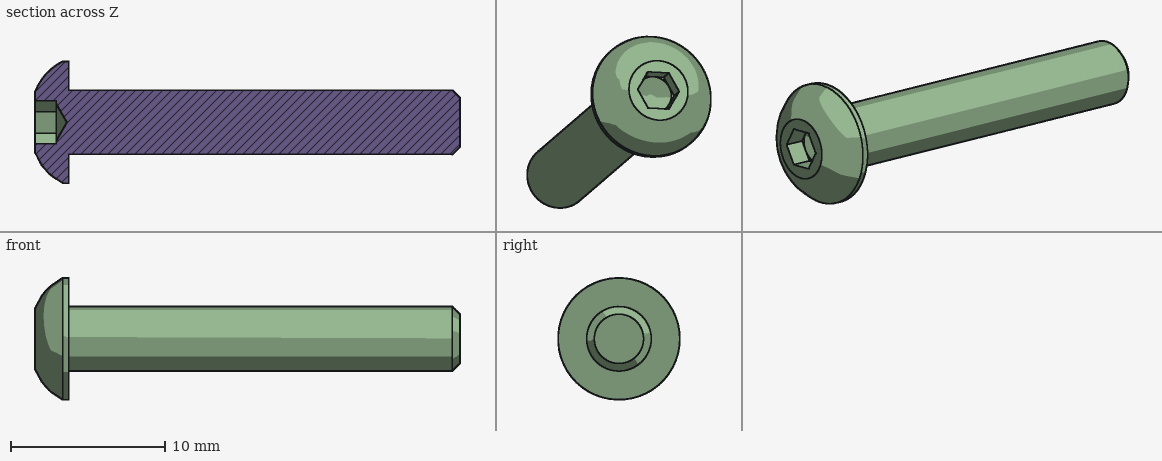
import cadquery as cq
import math

total_length = 27.6
head_radius = 7.92 / 2
head_height = 2.2
rim_thickness = 0.41
face_radius = 3.95 / 2
dome_bulge = 0.25
shank_radius = 4.2 / 2
tip_chamfer = 0.5

socket_across_flats = 2.4
socket_depth = 1.38
drill_point_angle = 120.0

face_x = -total_length / 2
tip_x = face_x + total_length
head_back_x = face_x + head_height
rim_front_x = head_back_x - rim_thickness


def screw_body():
    """Revolve the half outline of the domed head and chamfered shank about X."""
    dome_run = rim_front_x - face_x
    dome_rise = head_radius - face_radius
    chord = math.hypot(dome_run, dome_rise)
    dome_middle = (
        face_x + dome_run / 2 - dome_bulge * dome_rise / chord,
        face_radius + dome_rise / 2 + dome_bulge * dome_run / chord,
    )
    return (
        cq.Workplane("XY")
        .moveTo(face_x, 0)
        .lineTo(face_x, face_radius)
        .threePointArc(dome_middle, (rim_front_x, head_radius))
        .lineTo(head_back_x, head_radius)
        .lineTo(head_back_x, shank_radius)
        .lineTo(tip_x - tip_chamfer, shank_radius)
        .lineTo(tip_x, shank_radius - tip_chamfer)
        .lineTo(tip_x, 0)
        .close()
        .revolve(360, (0, 0, 0), (1, 0, 0))
    )


def hex_socket():
    """Hexagonal recess with two corners on the Y axis and flats facing Z."""
    across_corners = socket_across_flats / math.cos(math.radians(30))
    return (
        cq.Workplane("YZ", origin=(face_x, 0, 0))
        .polygon(6, across_corners)
        .extrude(socket_depth)
    )


def drill_point():
    """Cone at the socket bottom, as wide as the hexagon's inscribed circle."""
    cone_radius = socket_across_flats / 2
    cone_depth = cone_radius / math.tan(math.radians(drill_point_angle / 2))
    cone = cq.Solid.makeCone(
        cone_radius,
        0,
        cone_depth,
        pnt=cq.Vector(face_x + socket_depth, 0, 0),
        dir=cq.Vector(1, 0, 0),
    )
    return cq.Workplane(cone)


result = screw_body().cut(hex_socket()).cut(drill_point())